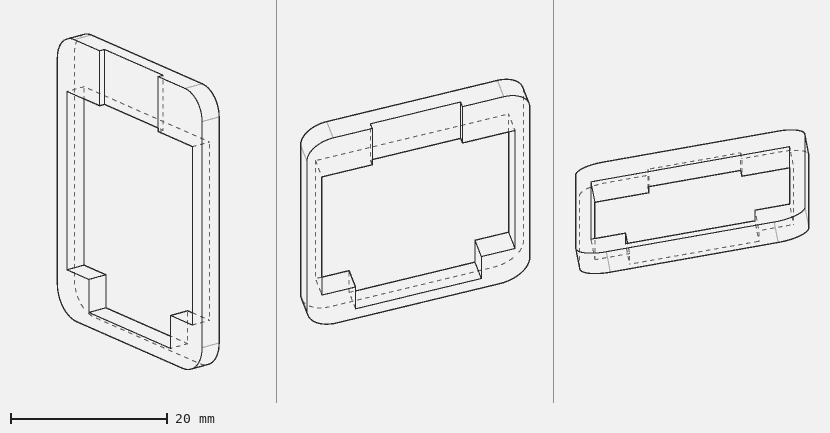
import cadquery as cq

width = 29.8
thickness = 2.8
height = 38.3
top_corner_radius = 3.5
bottom_corner_radius = 4.0

rim = 2.0
top_bar_height = 7.5
corner_block_size = 4.5

channel_width = 12.05
channel_depth = 0.8
channel_center_x = -0.15

window_width = width - 2 * rim
window_top = height - top_bar_height
corner_block_top = rim + corner_block_size
lower_window_width = window_width - 2 * corner_block_size


def block(size_x, size_y, z_min, z_max):
    """Box centred on X = 0, reaching back from the front face at Y = 0."""
    return (
        cq.Workplane("XY")
        .box(size_x, size_y, z_max - z_min, centered=(True, False, False))
        .translate((0, 0, z_min))
    )


def make_plate():
    plate = block(width, thickness, 0, height)
    plate = plate.edges("|Y").edges(">Z").fillet(top_corner_radius)
    return plate.edges("|Y").edges("<Z").fillet(bottom_corner_radius)


def make_window():
    upper = block(window_width, thickness, corner_block_top, window_top)
    lower = block(lower_window_width, thickness, rim, window_top)
    return upper.union(lower)


def make_channel():
    channel = block(channel_width, channel_depth, window_top, height)
    return channel.translate((channel_center_x, 0, 0))


result = make_plate().cut(make_window()).cut(make_channel())